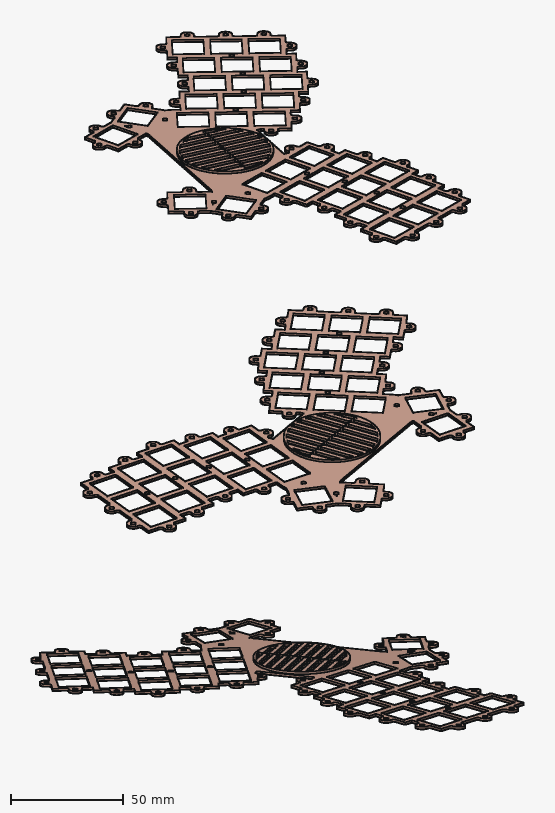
import cadquery as cq
import math

plate_thickness = 1.2
total_height = 2.4
grille_height = total_height - plate_thickness

column_pitch = 18.0
row_pitch = 17.0
window_size = 14.0
frame_margin = 1.0
half_frame_u = column_pitch / 2 + frame_margin
half_frame_v = row_pitch / 2 + frame_margin

hole_diameter = 2.2
tab_radius = 3.0
tab_overhang = 1.7
tab_fillet = 1.1
body_side_tab_shift = 0.3
tab_foot_half_width = math.sqrt((tab_radius + tab_fillet) ** 2 - (tab_overhang - tab_fillet) ** 2)

grid_angle = -25.0
row_count = 3
stagger_step = row_pitch / 4
column_stagger = [0, stagger_step, 2 * stagger_step, stagger_step, 0]
grid_anchor = (-93.176, 47.63)

thumb_turn = 20.0
inner_thumb_angle = grid_angle - thumb_turn
outer_thumb_angle = inner_thumb_angle - thumb_turn
inner_thumb_centre = (-48.62, -18.99)
palm_holes = [(-40.85, -9.3), (-41.7, -26.6)]

grille_diameter = 43.02
grille_rim = 1.2
slat_width = 2.4
slat_pitch = 2 * slat_width

body_margin = 1.0
body_top_half_width = 13.4
body_bottom_half_width = 30.7
body_half_depth = grille_diameter / 2 + body_margin


def place(origin, angle, u, v):
    """Plate coordinates of the point (u, v) of a frame at origin, turned by angle degrees."""
    turn = math.radians(angle)
    x = origin[0] + u * math.cos(turn) - v * math.sin(turn)
    y = origin[1] + u * math.sin(turn) + v * math.cos(turn)
    return (x, y)


def turned_box(centre, angle, size_u, size_v):
    """Plate-thick box centred on a point and turned by angle degrees."""
    box = cq.Workplane("XY").box(size_u, size_v, plate_thickness, centered=(True, True, False))
    return box.rotate((0, 0, 0), (0, 0, 1), angle).translate((centre[0], centre[1], 0))


def tab(centre, angle, side_u, side_v, shift=0):
    """Rounded tab blended into one side of a key frame, and the centre of its hole.

    The tab sits at the middle of the side, or shift further to the left when facing outward.
    """
    half_frame = abs(side_u) * half_frame_u + abs(side_v) * half_frame_v
    side_angle = angle + math.degrees(math.atan2(side_v, side_u))
    top = half_frame + tab_overhang
    share = tab_radius / (tab_radius + tab_fillet)
    join = (top + share * (tab_fillet - tab_overhang), share * tab_foot_half_width)
    to_join = math.atan2(join[1] - tab_foot_half_width, join[0] - half_frame - tab_fillet)
    middle_angle = (to_join - math.pi) / 2
    middle = (
        half_frame + tab_fillet + tab_fillet * math.cos(middle_angle),
        tab_foot_half_width + tab_fillet * math.sin(middle_angle),
    )

    def at(point, mirror=1):
        return place(centre, side_angle, point[0], shift + mirror * point[1])

    foot = (half_frame, tab_foot_half_width)
    root = (window_size / 2, tab_foot_half_width)
    profile = (
        cq.Workplane("XY")
        .moveTo(*at(root))
        .lineTo(*at(foot))
        .threePointArc(at(middle), at(join))
        .threePointArc(at((top + tab_radius, 0)), at(join, -1))
        .threePointArc(at(middle, -1), at(foot, -1))
        .lineTo(*at(root, -1))
        .close()
    )
    return profile.extrude(plate_thickness), at((top, 0))


def grid_key(column, row):
    """Centre of a key of the left grid; row 0 is the middle row and rows count upward."""
    return place(
        grid_anchor,
        grid_angle,
        column * column_pitch,
        column_stagger[column] + row * row_pitch,
    )


thumb_pivot = place(inner_thumb_centre, inner_thumb_angle, column_pitch / 2, -row_pitch / 2)
outer_thumb_centre = place(thumb_pivot, outer_thumb_angle, column_pitch / 2, row_pitch / 2)

column_count = len(column_stagger)
rows = range(-(row_count // 2), row_count // 2 + 1)
top_row = rows[-1]
bottom_row = rows[0]
last_column = column_count - 1
keys = [(grid_key(c, r), grid_angle) for c in range(column_count) for r in rows]
keys.append((inner_thumb_centre, inner_thumb_angle))
keys.append((outer_thumb_centre, outer_thumb_angle))

tab_sides = [(grid_key(c, top_row), grid_angle, 0, 1) for c in range(column_count)]
tab_sides += [(grid_key(c, bottom_row), grid_angle, 0, -1) for c in range(last_column)]
tab_sides += [(grid_key(0, r), grid_angle, -1, 0) for r in rows]
tab_sides += [
    (grid_key(last_column, top_row), grid_angle, 1, 0, body_side_tab_shift),
    (inner_thumb_centre, inner_thumb_angle, -1, 0),
    (inner_thumb_centre, inner_thumb_angle, 0, -1),
    (outer_thumb_centre, outer_thumb_angle, 0, 1),
    (outer_thumb_centre, outer_thumb_angle, 0, -1),
    (outer_thumb_centre, outer_thumb_angle, 1, 0),
]


def body_half():
    """Left half of the middle body, joining the key grid and the thumb keys."""
    last_top = grid_key(last_column, top_row)
    last_bottom = grid_key(last_column, bottom_row)
    return (
        cq.Workplane("XY")
        .moveTo(0, body_half_depth)
        .lineTo(0, -body_half_depth)
        .lineTo(-body_bottom_half_width, -body_half_depth)
        .lineTo(*place(outer_thumb_centre, outer_thumb_angle, -half_frame_u, half_frame_v))
        .lineTo(*outer_thumb_centre)
        .lineTo(*inner_thumb_centre)
        .lineTo(*place(inner_thumb_centre, inner_thumb_angle, -half_frame_u, half_frame_v))
        .lineTo(*place(last_bottom, grid_angle, -half_frame_u, -half_frame_v))
        .lineTo(*last_bottom)
        .lineTo(*last_top)
        .lineTo(-body_top_half_width, last_top[1])
        .lineTo(-body_top_half_width, body_half_depth)
        .close()
        .extrude(plate_thickness)
    )


def left_half():
    """Left half of the plate with its windows, tabs and holes."""
    half = body_half()
    for centre, angle in keys:
        half = half.union(turned_box(centre, angle, 2 * half_frame_u, 2 * half_frame_v))
    holes = list(palm_holes)
    for side in tab_sides:
        ear, hole = tab(*side)
        half = half.union(ear)
        holes.append(hole)
    for column in range(last_column):
        here = grid_key(column, 0)
        beside = grid_key(column + 1, 0)
        holes.append(((here[0] + beside[0]) / 2, (here[1] + beside[1]) / 2))
    for centre, angle in keys:
        half = half.cut(turned_box(centre, angle, window_size, window_size))
    drills = cq.Workplane("XY").pushPoints(holes).circle(hole_diameter / 2)
    return half.cut(drills.extrude(plate_thickness))


def slat(x, side):
    """Slat from the middle line, where its end is rounded, out to the rim toward +Y or -Y."""
    half_width = slat_width / 2
    reach = side * grille_diameter / 2
    shoulder = side * half_width
    return (
        cq.Workplane("XY", origin=(0, 0, plate_thickness))
        .moveTo(x - half_width, reach)
        .lineTo(x - half_width, shoulder)
        .threePointArc((x, 0), (x + half_width, shoulder))
        .lineTo(x + half_width, reach)
        .close()
        .extrude(grille_height)
    )


def grille():
    """Round grille: a rim and slats that shift by one slat width across the middle line."""
    radius = grille_diameter / 2
    disc = cq.Workplane("XY").circle(radius).extrude(total_height)
    core = cq.Workplane("XY", origin=(0, 0, plate_thickness)).circle(radius - grille_rim)
    rim = disc.cut(core.extrude(grille_height))
    count = math.ceil(radius / slat_pitch)
    slats = cq.Workplane("XY")
    for i in range(-count, count + 1):
        slats = slats.add(slat(i * slat_pitch, -1)).add(slat(i * slat_pitch + slat_width, 1))
    return rim.union(slats.combine().intersect(disc))


left = left_half()
result = left.union(left.mirror("YZ")).union(grille())